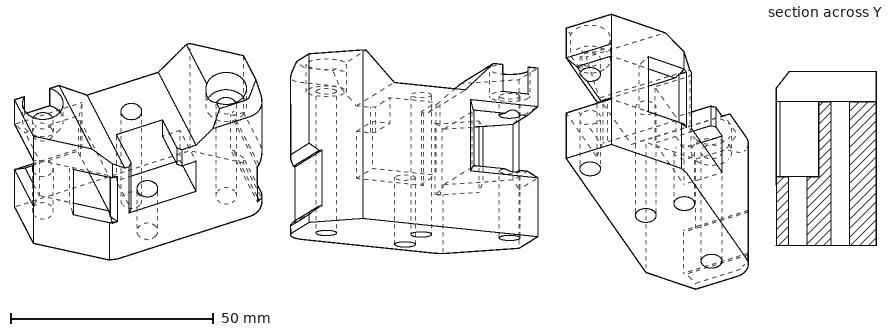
import cadquery as cq
import math

WIDTH, LENGTH, HEIGHT = 24.65, 57.5, 43.0
FRONT_EDGE = 12.3
DIAGONAL_LENGTH = 16.0
BACK_CUT_X, BACK_CUT_Y = 8.5, 10.8
CORNER_RADIUS = 5.0
OVERSHOOT = 11.5

SADDLE_FRONT, SADDLE_BACK = 19.3, 38.3
SADDLE_DEPTH = 7.5
SADDLE_Z = HEIGHT - SADDLE_DEPTH

BEVEL = 3.0
BEVEL_TURN = 51

HOLE_DIAMETER = 5.1
COUNTERBORE_DIAMETER, COUNTERBORE_DEPTH = 10.0, 6.9
CORNER_SCREWS = [(3.75, 6.05), (16.45, 49.7)]
MIDDLE_Y = 27.5
MIDDLE_SCREWS = [(8.9, MIDDLE_Y), (19.4, MIDDLE_Y)]

POCKET_X = 14.2
POCKET_WIDTH = 12.25
POCKET_FLARE = 0.9
CAVITY_TOP, CAVITY_BACK = 29.05, SADDLE_BACK

CHANNEL_HEIGHT = 14.15
FLARE = 2.0
SIDE_FLARE = 2.35
TUNNEL_Z = 17.0
NOTCH_Z, NOTCH_DEPTH = 4, 2.6
TUNNEL_BACK = 16.0
LEFT_FLARE = 2.6
RECESS_START, RECESS_END, RECESS_DEPTH = 3.8, 23.3, 0.05
FACET_WIDTH, FACET_BACK = 0.45, 17.35
WEB_START_X, WEB_END_X, WEB_END_Y = 11.25, 16.1, 8.1


def prism(points, bottom, top):
    return cq.Workplane("XY").workplane(offset=bottom).polyline(points).close().extrude(top - bottom)


def block():
    outline = [
        (0, 0), (FRONT_EDGE, 0), (WIDTH, DIAGONAL_LENGTH), (WIDTH, LENGTH),
        (BACK_CUT_X, LENGTH), (0, LENGTH - BACK_CUT_Y),
    ]
    body = prism(outline, 0, HEIGHT)
    return body.edges(cq.selectors.NearestToPointSelector((WIDTH, LENGTH, HEIGHT / 2))).fillet(CORNER_RADIUS)


def saddle():
    profile = [
        (SADDLE_FRONT - SADDLE_DEPTH, HEIGHT), (SADDLE_FRONT, SADDLE_Z),
        (SADDLE_BACK, SADDLE_Z), (SADDLE_BACK + SADDLE_DEPTH, HEIGHT),
    ]
    return cq.Workplane("YZ").polyline(profile).close().extrude(WIDTH)


def bevel_envelope():
    """Volume kept by the bevel: side, corner arc, then the tangent of that arc."""
    center_x, center_y = WIDTH - CORNER_RADIUS, LENGTH - CORNER_RADIUS

    def on_arc(angle):
        turn = math.radians(angle)
        return center_x + CORNER_RADIUS * math.cos(turn), center_y + CORNER_RADIUS * math.sin(turn)

    leave_x, leave_y = on_arc(BEVEL_TURN)
    run = WIDTH + OVERSHOOT
    far = (leave_x - run, leave_y + run / math.tan(math.radians(BEVEL_TURN)))

    def outline(z):
        return (
            cq.Workplane("XY").workplane(offset=z)
            .moveTo(far[0], -OVERSHOOT).lineTo(WIDTH, -OVERSHOOT).lineTo(WIDTH, center_y)
            .threePointArc(on_arc(BEVEL_TURN / 2), (leave_x, leave_y)).lineTo(*far).close()
        )

    return outline(0).extrude(HEIGHT).faces(">Z").edges().chamfer(BEVEL)


def flare_profile(plane, depth, bottom):
    """Trapezoid in a vertical plane, widening toward the mouth at local X = 0."""
    top = bottom + CHANNEL_HEIGHT
    points = [(0, bottom - FLARE), (depth, bottom), (depth, top), (0, top + FLARE)]
    return cq.Workplane(plane).polyline(points).close()


def tunnel():
    recess_back = TUNNEL_BACK + RECESS_DEPTH
    plan = [
        (0, 0), (FRONT_EDGE, 0), (WEB_START_X, FLARE), (WEB_END_X, WEB_END_Y),
        (WIDTH, WEB_END_Y), (WIDTH, TUNNEL_BACK + WIDTH - RECESS_END),
        (RECESS_END, TUNNEL_BACK), (RECESS_END, recess_back), (RECESS_START, recess_back),
        (RECESS_START, TUNNEL_BACK), (LEFT_FLARE, TUNNEL_BACK), (0, TUNNEL_BACK + FLARE),
    ]
    core = prism(plan, TUNNEL_Z, TUNNEL_Z + CHANNEL_HEIGHT)
    envelope = prism(plan, TUNNEL_Z - FLARE, TUNNEL_Z + CHANNEL_HEIGHT + FLARE)
    diagonal = (WIDTH - FRONT_EDGE, DIAGONAL_LENGTH)
    mouths = [
        ((0, 0, 0), (1, 0, 0), (0, -1, 0), FLARE),
        ((0, 0, 0), (0, 1, 0), (1, 0, 0), FLARE),
        ((WIDTH, 0, 0), (-1, 0, 0), (0, 1, 0), SIDE_FLARE),
        ((FRONT_EDGE, 0, 0), (-diagonal[1], diagonal[0], 0), (*diagonal, 0), FLARE),
    ]
    for origin, inward, along, depth in mouths:
        mouth = flare_profile(cq.Plane(origin, inward, along), depth, TUNNEL_Z)
        core = core.union(mouth.extrude(LENGTH, both=True).intersect(envelope))
    return core


def lower_facet():
    start_x = WIDTH - FACET_WIDTH
    start_y = DIAGONAL_LENGTH * (start_x - FRONT_EDGE) / (WIDTH - FRONT_EDGE)
    plan = [(start_x, start_y), (WIDTH, DIAGONAL_LENGTH), (WIDTH, FACET_BACK)]
    return prism(plan, 0, TUNNEL_Z - FLARE)


def back_notch():
    plane = cq.Plane((0, LENGTH, 0), (0, -1, 0), (-1, 0, 0))
    mouth = flare_profile(plane, FLARE, NOTCH_Z).extrude(WIDTH, both=True)
    slot = prism(
        [(0, LENGTH - NOTCH_DEPTH), (WIDTH, LENGTH - NOTCH_DEPTH), (WIDTH, LENGTH), (0, LENGTH)],
        NOTCH_Z, NOTCH_Z + CHANNEL_HEIGHT,
    )
    return slot.union(mouth)


def side_pocket():
    front, back = MIDDLE_Y - POCKET_WIDTH / 2, MIDDLE_Y + POCKET_WIDTH / 2
    plan = [
        (POCKET_X, front), (WIDTH - POCKET_FLARE, front), (WIDTH, front - POCKET_FLARE),
        (WIDTH, back + POCKET_FLARE), (WIDTH - POCKET_FLARE, back), (POCKET_X, back),
    ]
    wide_plan = [(POCKET_X, front), (WIDTH, front), (WIDTH, CAVITY_BACK), (POCKET_X, CAVITY_BACK)]
    return prism(plan, TUNNEL_Z, SADDLE_Z).union(prism(wide_plan, TUNNEL_Z, CAVITY_TOP))


def screw_holes():
    holes = (
        cq.Workplane("XY").pushPoints(CORNER_SCREWS + MIDDLE_SCREWS)
        .circle(HOLE_DIAMETER / 2).extrude(HEIGHT)
    )
    counterbores = (
        cq.Workplane("XY").workplane(offset=HEIGHT - COUNTERBORE_DEPTH).pushPoints(CORNER_SCREWS)
        .circle(COUNTERBORE_DIAMETER / 2).extrude(COUNTERBORE_DEPTH)
    )
    return holes.union(counterbores)


result = block().intersect(bevel_envelope())
for cutter in (saddle(), tunnel(), lower_facet(), back_notch(), side_pocket(), screw_holes()):
    result = result.cut(cutter)